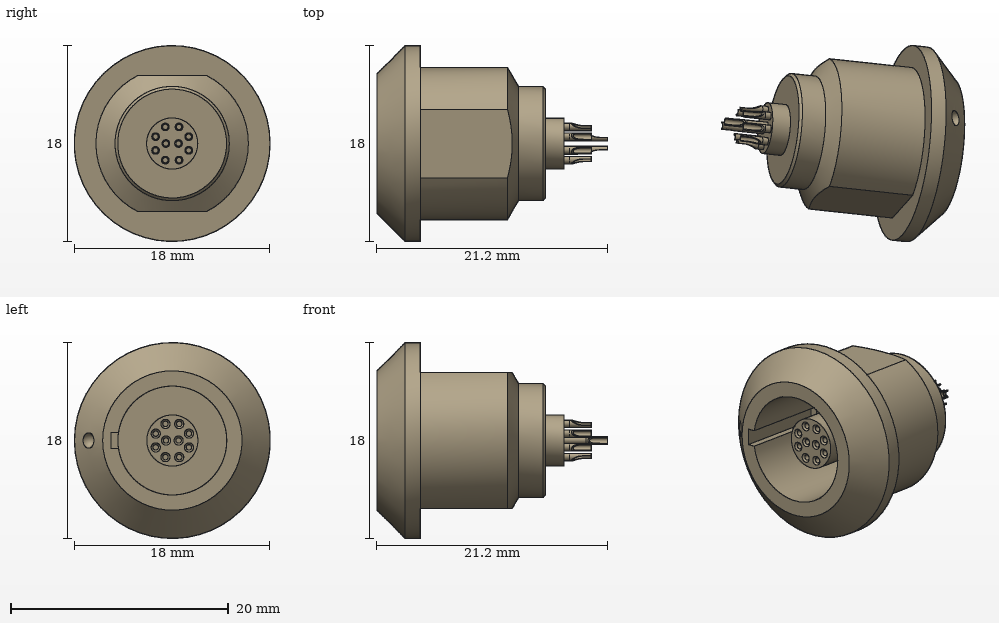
import cadquery as cq
import math


flange_radius = 9.0
flange_length = 4.0
flange_bevel = 2.6
mating_face_radius = flange_radius - flange_bevel

body_radius = 7.0
flats_width = 12.5
body_end = 12.0

neck_radius = 5.25
shoulder_angle = 60.0
shoulder_end = body_end + (body_radius - neck_radius) / math.tan(math.radians(shoulder_angle))
neck_end = 15.5
neck_chamfer = 0.25

socket_radius = 5.0
socket_depth = 10.0
key_width = 1.5
key_reach = 5.65
key_depth = 9.0

insulator_radius = 2.35
insulator_front = 2.2
insulator_rear = 17.2

dimple_radius = 0.7
dimple_x = flange_bevel / 2
dimple_y = flange_radius - flange_bevel / 2

ring_count = 8
ring_radius = 1.65
pair_offset = 0.58
pair_count = 2
ring_contact_end = 19.7
pair_contact_end = 21.2

entry_radius = 0.25
entry_depth = 3.0
countersink_radius = 0.42
countersink_depth = countersink_radius - entry_radius

pin_radius = 0.35
pin_embed = 1.0
cup_radius = 0.25
cup_depth = 2.0
cup_flat_length = 0.7
cup_arc_radius = 2.0


def cylinder(radius, start, end):
    """Cylinder on the X axis between two X positions."""
    return cq.Workplane("YZ", origin=(start, 0, 0)).circle(radius).extrude(end - start)


def make_shell():
    """Flange, flatted body and neck as one turned piece."""
    profile = [
        (0, 0),
        (0, mating_face_radius),
        (flange_bevel, flange_radius),
        (flange_length, flange_radius),
        (flange_length, body_radius),
        (body_end, body_radius),
        (shoulder_end, neck_radius),
        (neck_end - neck_chamfer, neck_radius),
        (neck_end, neck_radius - neck_chamfer),
        (neck_end, 0),
    ]
    turned = cq.Workplane("XY").polyline(profile).close().revolve(360, (0, 0, 0), (1, 0, 0))
    body_length = neck_end - flange_length
    flats = cq.Workplane("XY").box(body_length, 2 * body_radius, flats_width)
    flats = flats.translate((flange_length + body_length / 2, 0, 0))
    return turned.intersect(flats.union(cylinder(flange_radius, 0, flange_length)))


def cut_socket(shell):
    """Bore the socket and cut its key slot."""
    key = cq.Workplane("XY").box(key_depth, key_reach, key_width, centered=(False, False, True))
    return shell.cut(cylinder(socket_radius, 0, socket_depth)).cut(key)


def cut_dimple(shell):
    """Hemispherical mark centred on the bevel surface."""
    return shell.cut(cq.Workplane("XY").sphere(dimple_radius).translate((dimple_x, dimple_y, 0)))


def place(contact_feature, radius, angle):
    """Move a feature from the X axis outward along +Y, then turn it about X."""
    return contact_feature.translate((0, radius, 0)).rotate((0, 0, 0), (1, 0, 0), angle)


def make_entry():
    """Countersunk hole volume on the X axis."""
    profile = [
        (0, 0),
        (0, countersink_radius),
        (countersink_depth, entry_radius),
        (entry_depth, entry_radius),
        (entry_depth, 0),
    ]
    entry = cq.Workplane("XY").polyline(profile).close().revolve(360, (0, 0, 0), (1, 0, 0))
    return entry.translate((insulator_front, 0, 0))


def make_pin(end):
    """Pin on the X axis with a solder cup opened towards +Y."""
    pin = cylinder(pin_radius, insulator_rear - pin_embed, end)
    pin = pin.cut(cylinder(cup_radius, end - cup_depth, end))
    flat_start = end - cup_flat_length
    arc_middle = cup_arc_radius * math.sqrt(0.5)
    opening = (
        cq.Workplane("XY", origin=(0, 0, -pin_radius))
        .moveTo(end, 0)
        .lineTo(flat_start, 0)
        .threePointArc(
            (flat_start - arc_middle, cup_arc_radius - arc_middle),
            (flat_start - cup_arc_radius, cup_arc_radius),
        )
        .lineTo(end, cup_arc_radius)
        .close()
        .extrude(2 * pin_radius)
    )
    return pin.cut(opening)


def add_contacts(part, count, radius, first_angle, end):
    """Evenly spaced contacts: an entry hole in front and a solder-cup pin behind."""
    entry = make_entry()
    pin = make_pin(end)
    for index in range(count):
        angle = first_angle + index * 360 / count
        part = part.cut(place(entry, radius, angle))
        part = part.union(place(pin, radius, angle))
    return part


connector = cut_dimple(cut_socket(make_shell()))
connector = connector.union(cylinder(insulator_radius, insulator_front, insulator_rear))
connector = add_contacts(connector, ring_count, ring_radius, 180 / ring_count, ring_contact_end)
connector = add_contacts(connector, pair_count, pair_offset, 0, pair_contact_end)

result = connector